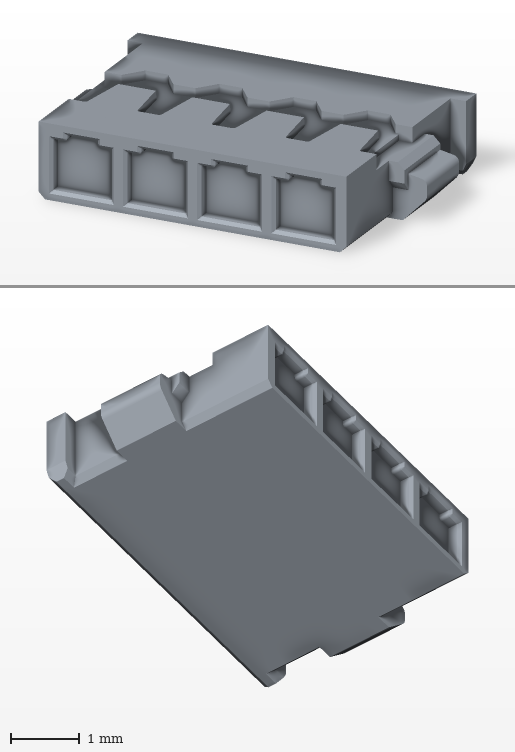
import cadquery as cq
import math

contact_count = 4
pitch = 1.2
height = 1.2
depth = 3.8
body_width = 4.99
edge_bevel = 0.105

flange_width = 5.49
flange_depth = 0.34
flange_end_run = 0.105
flange_end_rise = 0.215

mouth_width = 1.05
mouth_bottom = 0.105
mouth_shoulder = 1.0
mouth_top = 1.1
key_width = 0.6
mouth_depth = 0.2
lead_in_angle = 45.0
lead_in_depth = 0.05

groove_depth = 0.15
groove_front = 1.0
groove_rear = 2.19
groove_half_width = 2.275
scallop_depth = 0.31
scallop_base_width = 0.84
scallop_tip_width = 0.365
tooth_end = 1.885
tooth_end_slope = 0.035
tooth_base_width = 0.825
tooth_tip_width = 0.6
tooth_root_radius = 0.05
ledge_depth = 0.25

latch_rear = 2.605
latch_block_length = 1.19
latch_block_bottom = 0.49
latch_block_bevel = 0.11
latch_block_front_rise = 0.145
latch_hook_length = 1.06
latch_hook_half_width = 3.05
latch_hook_foot = 2.655
latch_hook_root = 0.745
latch_hook_slope = 11.0
latch_hook_upper_radius = 0.11
latch_hook_lower_radius = 0.15

body_half = body_width / 2
flange_half = flange_width / 2
ledge_height = height - ledge_depth
contact_positions = [(i - (contact_count - 1) / 2) * pitch for i in range(contact_count)]


def box(x_min, x_max, y_min, y_max, z_min, z_max):
    corner = (x_min, y_min, z_min)
    return cq.Workplane("XY").box(x_max - x_min, y_max - y_min, z_max - z_min, centered=False).translate(corner)


def extrude_along_y(points, y_min, y_max):
    """Prism with an (x, z) outline between two y positions."""
    return cq.Workplane("XZ", origin=(0, y_min, 0)).polyline(points).close().extrude(y_min - y_max)


def extrude_along_x(points, half_length):
    """Prism with a (y, z) outline, centred on x = 0."""
    return cq.Workplane("YZ").polyline(points).close().extrude(half_length, both=True)


def bevelled_block(half_width, front, end_run, end_rise, front_bevel=0.0):
    """Full-height block reaching to the rear face, with its lower edges bevelled."""
    ends = [
        (-half_width, height),
        (-half_width, end_rise),
        (end_run - half_width, 0),
        (half_width - end_run, 0),
        (half_width, end_rise),
        (half_width, height),
    ]
    block = extrude_along_y(ends, front, depth)
    rear_corner = [(depth, 0), (depth, edge_bevel), (depth - edge_bevel, 0)]
    block = block.cut(extrude_along_x(rear_corner, half_width))
    if front_bevel:
        front_corner = [(front, 0), (front, front_bevel), (front + front_bevel, 0)]
        block = block.cut(extrude_along_x(front_corner, half_width))
    return block


def contact_mouth():
    """Shallow pocket with a raised key slot and a tapered lead-in all round."""
    side = mouth_width / 2
    key_side = key_width / 2
    outline = [
        (-side, mouth_bottom),
        (side, mouth_bottom),
        (side, mouth_shoulder),
        (key_side, mouth_shoulder),
        (key_side, mouth_top),
        (-key_side, mouth_top),
        (-key_side, mouth_shoulder),
        (-side, mouth_shoulder),
    ]
    entry = cq.Workplane("XZ").polyline(outline).close().extrude(-lead_in_depth, taper=lead_in_angle)
    return entry.faces(">Y").wires().toPending().workplane().extrude(mouth_depth - lead_in_depth)


def trapezoid(base_y, base_width, tip_y, tip_width):
    points = [
        (-base_width / 2, base_y),
        (base_width / 2, base_y),
        (tip_width / 2, tip_y),
        (-tip_width / 2, tip_y),
    ]
    floor = cq.Workplane("XY", origin=(0, 0, height - groove_depth))
    return floor.polyline(points).close().extrude(groove_depth)


def tooth():
    """Tapered tooth whose end face slopes towards the front at the top."""
    blank = trapezoid(groove_front, tooth_base_width, tooth_end, tooth_tip_width)
    lean = [
        (tooth_end, height - groove_depth),
        (tooth_end, height),
        (tooth_end - tooth_end_slope, height),
    ]
    return blank.cut(extrude_along_x(lean, tooth_base_width))


def top_groove():
    """Material removed from the top face between the scallops and the teeth."""
    groove = box(-body_half, body_half, groove_front, groove_rear, height - groove_depth, height)
    scallop = trapezoid(groove_rear, scallop_base_width, groove_rear + scallop_depth, scallop_tip_width)
    for x in contact_positions:
        groove = groove.cut(tooth().translate((x, 0, 0)))
        groove = groove.union(scallop.translate((x, 0, 0)))
    root_height = height - groove_depth / 2
    for x in contact_positions:
        for side in (-1, 1):
            root_corner = (x + side * tooth_base_width / 2, groove_front, root_height)
            root_edge = cq.selectors.NearestToPointSelector(root_corner)
            groove = groove.edges("|Z").edges(root_edge).fillet(tooth_root_radius)
    return groove


def right_ledge():
    return box(groove_half_width, body_half, groove_front, groove_rear, ledge_height, height)


def right_latch():
    """Upper block bevelled on its outer and lower front edges, with a rounded hook below it."""
    block_front = latch_rear - latch_block_length
    hook_front = latch_rear - latch_hook_length
    block_outline = [
        (0, latch_block_bottom),
        (flange_half, latch_block_bottom),
        (flange_half, ledge_height - latch_block_bevel),
        (flange_half - latch_block_bevel, ledge_height),
        (0, ledge_height),
    ]
    block = extrude_along_y(block_outline, block_front, latch_rear)
    front_bevel = [
        (block_front, latch_block_bottom),
        (hook_front, latch_block_bottom),
        (block_front, latch_block_bottom + latch_block_front_rise),
    ]
    block = block.cut(extrude_along_x(front_bevel, latch_hook_half_width))

    hook_drop = (latch_hook_half_width - flange_half) * math.tan(math.radians(latch_hook_slope))
    nose_bottom = latch_hook_half_width - latch_hook_foot
    nose_top = latch_hook_root - hook_drop
    hook_outline = [
        (0, 0),
        (latch_hook_foot, 0),
        (latch_hook_half_width, nose_bottom),
        (latch_hook_half_width, nose_top),
        (flange_half, latch_hook_root),
        (0, latch_hook_root),
    ]
    hook = extrude_along_y(hook_outline, hook_front, latch_rear)
    hook_middle = (hook_front + latch_rear) / 2
    lower_corner = cq.selectors.NearestToPointSelector((latch_hook_half_width, hook_middle, nose_bottom))
    hook = hook.edges("|Y").edges(lower_corner).fillet(latch_hook_lower_radius)
    upper_corner = cq.selectors.NearestToPointSelector((latch_hook_half_width, hook_middle, nose_top))
    hook = hook.edges("|Y").edges(upper_corner).fillet(latch_hook_upper_radius)
    inside = box(0, body_half - edge_bevel, 0, depth, 0, height)
    return block.union(hook).cut(inside)


body = bevelled_block(body_half, 0, edge_bevel, edge_bevel)
flange = bevelled_block(flange_half, depth - flange_depth, flange_end_run, flange_end_rise, edge_bevel)
housing = body.union(flange)
housing = housing.cut(top_groove())
for x in contact_positions:
    housing = housing.cut(contact_mouth().translate((x, 0, 0)))
housing = housing.cut(right_ledge()).cut(right_ledge().mirror("YZ"))
housing = housing.union(right_latch()).union(right_latch().mirror("YZ"))

result = housing.clean()